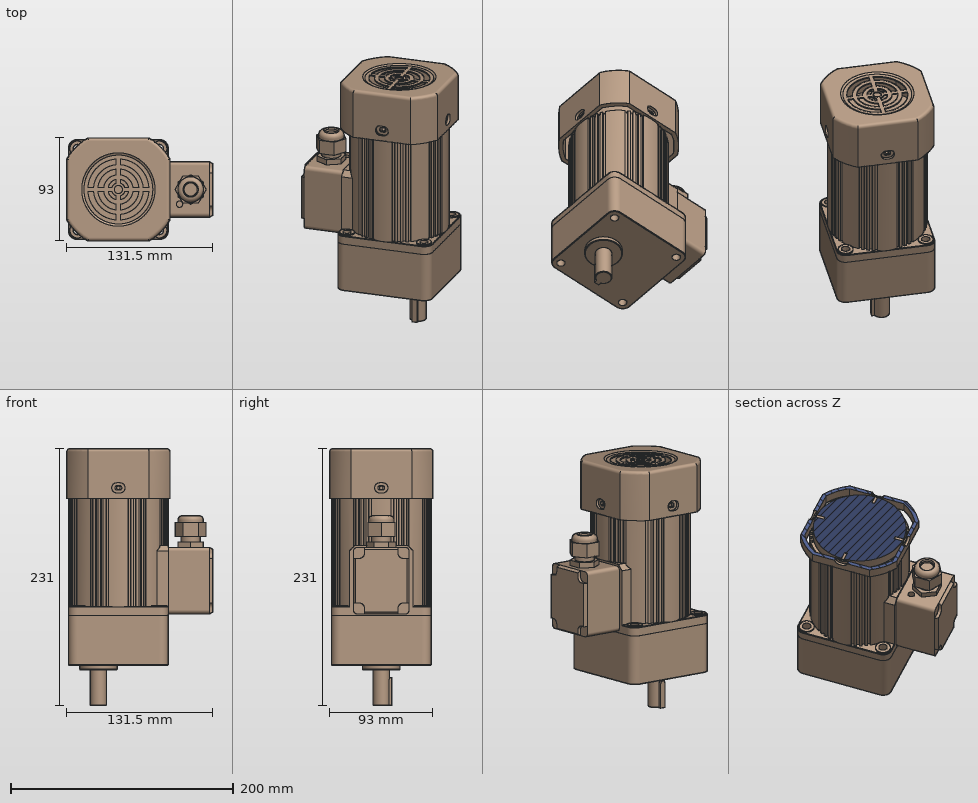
import cadquery as cq
import math


GEARBOX_HEIGHT = 45.0
FLANGE_THICKNESS = 8.0
FLANGE_TOP = GEARBOX_HEIGHT + FLANGE_THICKNESS
COVER_BOTTOM = 150.0
COVER_HEIGHT = 45.0
COVER_TOP = COVER_BOTTOM + COVER_HEIGHT

FRAME = 90.0
FRAME_CORNER = 8.0
FRAME_CHAMFER = 0.6
BOLT_CIRCLE = 104.0
BOLT_OFFSET = BOLT_CIRCLE / 2 * math.cos(math.radians(45))
BOLT_HOLE = 7.5
BOLT_PAD_RADIUS = 6.8
BOLT_PAD_HEIGHT = 1.0

SHAFT_X = -18.0
SHAFT_DIAMETER = 15.0
SHAFT_LENGTH = 36.0
SHAFT_SEAT_DEPTH = 20.0
SHAFT_CHAMFER = 0.6
PILOT_DIAMETER = 34.0
PILOT_HEIGHT = 4.0
PILOT_CHAMFER = 0.6
KEY_WIDTH = 5.0
KEY_LENGTH = 25.0
KEY_PROJECTION = 2.0

BARREL_RADIUS = FRAME / 2
GROOVE_DEPTH = 2.0
GROOVE_ARC = 3.1
GROOVE_PITCH = 6.33
GROOVES_PER_GROUP = 4
GROOVE_GROUPS = 8
SPIGOT_RADIUS = 42.0
SPIGOT_HEIGHT = 17.0

SADDLE_WIDTH = 57.4
SADDLE_TOP = 108.0
SADDLE_CHAMFER = 5.0

COVER_WIDTH = 93.0
COVER_CORNER_RADIUS = 54.0
COVER_WALL = 4.0
COVER_EDGE_RADIUS = 3.0
GRILLE_RECESS_TOP_RADIUS = 33.0
GRILLE_RECESS_FLOOR_RADIUS = 31.0
GRILLE_RECESS_DEPTH = 1.0
GRILLE_THICKNESS = 1.0
GRILLE_RIB = 4.0
GRILLE_CENTER_RADIUS = 3.7
GRILLE_SLOT_RADII = [(6.0, 9.3), (13.3, 18.5), (22.4, 27.5)]

SCREW_Z = COVER_BOTTOM + 9.7
SEAT_LENGTH = 12.0
SEAT_WIDTH = 9.2
SEAT_DEPTH = 2.5
SCREW_SLOT_LENGTH = 6.2
SCREW_SLOT_WIDTH = 4.2
SCREW_HOLE = 3.2
SCREW_HOLE_DEPTH = 8.0

BOX_X0 = FRAME / 2
LID_X0 = 82.0
LID_THICKNESS = 3.0
BOX_WIDTH = 50.0
BOX_BOTTOM = 46.2
BOX_HEIGHT = 60.0
BOX_TOP = BOX_BOTTOM + BOX_HEIGHT
BOX_MID_Z = (BOX_BOTTOM + BOX_TOP) / 2
BOX_EDGE_RADIUS = 3.5
LID_INSET = 1.8
LID_TAPER = math.degrees(math.atan2(LID_INSET, LID_THICKNESS))
LID_NOTCH = 10.0
LID_NOTCH_RADIUS = 5.0
BOX_HOLE_X = 55.0
BOX_HOLE_Y = -13.2
BOX_HOLE_DIAMETER = 5.8
BOX_HOLE_DEPTH = 10.0

GLAND_X = 65.0
LOCKNUT_FLATS = 23.0
LOCKNUT_HEIGHT = 5.0
NECK_DIAMETER = 17.6
NECK_HEIGHT = 4.7
CAPNUT_FLATS = 24.3
CAPNUT_HEIGHT = 12.7
DOME_DIAMETER = 23.0
DOME_HEIGHT = 6.2
DOME_RADIUS = 4.2
GLAND_BORE = 11.8
GLAND_BORE_DEPTH = 3.0
GLAND_BORE_CHAMFER = 1.0


def cylinder(radius, z0, z1, x=0.0, y=0.0):
    """Upright cylinder between two heights."""
    return cq.Workplane("XY", origin=(x, y, z0)).circle(radius).extrude(z1 - z0)


def square_frame(z0, z1):
    """Square block with rounded upright corners."""
    block = cq.Workplane("XY", origin=(0, 0, z0)).rect(FRAME, FRAME).extrude(z1 - z0)
    return block.edges("|Z").fillet(FRAME_CORNER)


def at_bolts(z0):
    """Workplane with the four frame bolt centres on its stack."""
    spacing = 2 * BOLT_OFFSET
    return cq.Workplane("XY", origin=(0, 0, z0)).rect(spacing, spacing, forConstruction=True).vertices()


def make_shaft():
    """Output shaft with its key standing out on the +Y side."""
    shaft = cylinder(SHAFT_DIAMETER / 2, -SHAFT_LENGTH, SHAFT_SEAT_DEPTH, SHAFT_X)
    shaft = shaft.faces("<Z").chamfer(SHAFT_CHAMFER)
    half = KEY_WIDTH / 2
    key = (
        cq.Workplane("XZ", origin=(SHAFT_X, 0, -SHAFT_LENGTH))
        .moveTo(-half, 0)
        .lineTo(half, 0)
        .lineTo(half, KEY_LENGTH - half)
        .threePointArc((0, KEY_LENGTH), (-half, KEY_LENGTH - half))
        .close()
        .extrude(-(SHAFT_DIAMETER / 2 + KEY_PROJECTION))
    )
    return shaft.union(key)


def make_gearbox():
    """Gearbox block with a round pilot, bolt holes and the shaft seat."""
    gearbox = square_frame(0, GEARBOX_HEIGHT).faces("<Z").chamfer(FRAME_CHAMFER)
    pilot = cylinder(PILOT_DIAMETER / 2, -PILOT_HEIGHT, GEARBOX_HEIGHT / 2, SHAFT_X)
    gearbox = gearbox.union(pilot.faces("<Z").chamfer(PILOT_CHAMFER))
    gearbox = gearbox.cut(at_bolts(0).circle(BOLT_HOLE / 2).extrude(GEARBOX_HEIGHT))
    return gearbox.cut(cylinder(SHAFT_DIAMETER / 2, -PILOT_HEIGHT, SHAFT_SEAT_DEPTH, SHAFT_X))


def make_barrel():
    """Round barrel with groups of grooves between eight smooth lands."""
    barrel = cylinder(BARREL_RADIUS, GEARBOX_HEIGHT, COVER_BOTTOM)
    groove_width = 2 * BARREL_RADIUS * math.sin(math.radians(GROOVE_ARC / 2))
    groove = (
        cq.Workplane("XY", origin=(BARREL_RADIUS, 0, FLANGE_TOP))
        .rect(2 * GROOVE_DEPTH, groove_width)
        .extrude(COVER_BOTTOM - FLANGE_TOP)
    )
    group_pitch = 360 / GROOVE_GROUPS
    first_offset = -(GROOVES_PER_GROUP - 1) / 2 * GROOVE_PITCH
    grooves = []
    for group in range(GROOVE_GROUPS):
        middle = (group + 0.5) * group_pitch
        for index in range(GROOVES_PER_GROUP):
            angle = middle + first_offset + index * GROOVE_PITCH
            grooves.append(groove.val().rotate(cq.Vector(), cq.Vector(0, 0, 1), angle))
    return barrel.cut(cq.Workplane(cq.Compound.makeCompound(grooves)))


def make_saddle():
    """Flat-faced block on the +X side of the barrel, chamfered along the top of both sides."""
    half = SADDLE_WIDTH / 2
    return (
        cq.Workplane("YZ")
        .moveTo(-half, GEARBOX_HEIGHT + FRAME_CHAMFER)
        .lineTo(half, GEARBOX_HEIGHT + FRAME_CHAMFER)
        .lineTo(half, SADDLE_TOP - SADDLE_CHAMFER)
        .lineTo(half - SADDLE_CHAMFER, SADDLE_TOP)
        .lineTo(-half + SADDLE_CHAMFER, SADDLE_TOP)
        .lineTo(-half, SADDLE_TOP - SADDLE_CHAMFER)
        .close()
        .extrude(BOX_X0)
    )


def make_motor():
    """Motor: bolted flange, grooved barrel, saddle and the spigot inside the fan cover."""
    motor = square_frame(GEARBOX_HEIGHT, FLANGE_TOP).faces(">Z").chamfer(FRAME_CHAMFER)
    pads = at_bolts(GEARBOX_HEIGHT).circle(BOLT_PAD_RADIUS).extrude(FLANGE_THICKNESS + BOLT_PAD_HEIGHT)
    motor = motor.union(pads).union(make_barrel()).union(make_saddle())
    motor = motor.union(cylinder(SPIGOT_RADIUS, FLANGE_TOP, COVER_BOTTOM + SPIGOT_HEIGHT))
    holes = at_bolts(GEARBOX_HEIGHT).circle(BOLT_HOLE / 2).extrude(FLANGE_THICKNESS + BOLT_PAD_HEIGHT)
    motor = motor.cut(holes)
    screw_hole = (
        cq.Workplane("XZ", origin=(0, -SPIGOT_RADIUS, SCREW_Z))
        .circle(SCREW_HOLE / 2)
        .extrude(-SCREW_HOLE_DEPTH)
    )
    for side in range(4):
        motor = motor.cut(screw_hole.rotate((0, 0, 0), (0, 0, 1), side * 90))
    return motor


def cover_block(width, corner_radius, z0, z1):
    """Square block whose corners are rounded by one large circle about the axis."""
    block = cq.Workplane("XY", origin=(0, 0, z0)).rect(width, width).extrude(z1 - z0)
    return block.intersect(cylinder(corner_radius, z0, z1))


def make_grille_slots(z0, z1):
    """Concentric ring slots interrupted by a cross of ribs, around a centre hole."""
    slots = cylinder(GRILLE_CENTER_RADIUS, z0, z1)
    span = 2 * GRILLE_RECESS_TOP_RADIUS
    cross = cq.Workplane("XY", origin=(0, 0, z0)).rect(span, GRILLE_RIB).extrude(z1 - z0)
    cross = cross.union(cross.rotate((0, 0, 0), (0, 0, 1), 90))
    for inner, outer in GRILLE_SLOT_RADII:
        ring = cq.Workplane("XY", origin=(0, 0, z0)).circle(outer).circle(inner).extrude(z1 - z0)
        slots = slots.union(ring.cut(cross))
    return slots


def make_cover():
    """Fan cover: a hollow cap with an air grille and a screw seat on each side."""
    cover = cover_block(COVER_WIDTH, COVER_CORNER_RADIUS, COVER_BOTTOM, COVER_TOP)
    cover = cover.faces(">Z").edges().fillet(COVER_EDGE_RADIUS)

    grille_top = COVER_TOP - GRILLE_RECESS_DEPTH
    ceiling = grille_top - GRILLE_THICKNESS
    cavity_width = COVER_WIDTH - 2 * COVER_WALL
    cavity_radius = COVER_CORNER_RADIUS - COVER_WALL
    cover = cover.cut(cover_block(cavity_width, cavity_radius, COVER_BOTTOM, ceiling))

    recess = (
        cq.Workplane("XY", origin=(0, 0, COVER_TOP))
        .circle(GRILLE_RECESS_TOP_RADIUS)
        .workplane(offset=-GRILLE_RECESS_DEPTH)
        .circle(GRILLE_RECESS_FLOOR_RADIUS)
        .loft()
    )
    cover = cover.cut(recess).cut(make_grille_slots(ceiling, grille_top))

    outer_face = cq.Workplane("XZ", origin=(0, -COVER_WIDTH / 2, SCREW_Z))
    seat = outer_face.slot2D(SEAT_LENGTH, SEAT_WIDTH).extrude(-SEAT_DEPTH)
    slot = outer_face.slot2D(SCREW_SLOT_LENGTH, SCREW_SLOT_WIDTH).extrude(-COVER_WALL)
    opening = seat.union(slot)
    for side in range(4):
        cover = cover.cut(opening.rotate((0, 0, 0), (0, 0, 1), side * 90))
    return cover


def make_terminal_box():
    """Terminal box with a tapered lid on its +X end, notched at the corners for the lid screws."""
    box = (
        cq.Workplane("YZ", origin=(BOX_X0, 0, BOX_MID_Z))
        .rect(BOX_WIDTH, BOX_HEIGHT)
        .extrude(LID_X0 - BOX_X0)
        .edges("|X")
        .fillet(BOX_EDGE_RADIUS)
    )
    lid = (
        cq.Workplane("YZ", origin=(LID_X0, 0, BOX_MID_Z))
        .rect(BOX_WIDTH, BOX_HEIGHT)
        .extrude(LID_THICKNESS, taper=LID_TAPER)
    )
    notches = (
        cq.Workplane("YZ", origin=(LID_X0, 0, BOX_MID_Z))
        .rect(BOX_WIDTH, BOX_HEIGHT, forConstruction=True)
        .vertices()
        .rect(2 * LID_NOTCH, 2 * LID_NOTCH)
        .extrude(LID_THICKNESS)
        .edges("|X")
        .fillet(LID_NOTCH_RADIUS)
    )
    box = box.union(lid.cut(notches))
    hole_floor = BOX_TOP - BOX_HOLE_DEPTH
    return box.cut(cylinder(BOX_HOLE_DIAMETER / 2, hole_floor, BOX_TOP, BOX_HOLE_X, BOX_HOLE_Y))


def hexagon(flats, z0, height, turn):
    """Upright hexagonal prism on the gland axis, turned about that axis."""
    corners = flats / math.cos(math.radians(30))
    prism = cq.Workplane("XY").polygon(6, corners).extrude(height)
    return prism.rotate((0, 0, 0), (0, 0, 1), turn).translate((GLAND_X, 0, z0))


def make_gland():
    """Cable gland: locknut, neck, cap nut and a domed top with a shallow bore."""
    neck_z = BOX_TOP + LOCKNUT_HEIGHT
    capnut_z = neck_z + NECK_HEIGHT
    dome_z = capnut_z + CAPNUT_HEIGHT
    dome_top = dome_z + DOME_HEIGHT
    gland = hexagon(LOCKNUT_FLATS, BOX_TOP, LOCKNUT_HEIGHT, 30)
    gland = gland.union(cylinder(NECK_DIAMETER / 2, neck_z, capnut_z, GLAND_X))
    gland = gland.union(hexagon(CAPNUT_FLATS, capnut_z, CAPNUT_HEIGHT, 0))
    dome = cylinder(DOME_DIAMETER / 2, dome_z, dome_top, GLAND_X).faces(">Z").edges().fillet(DOME_RADIUS)
    gland = gland.union(dome)
    bore = cylinder(GLAND_BORE / 2, dome_top - GLAND_BORE_DEPTH, dome_top, GLAND_X)
    mouth = gland.cut(bore).faces(">Z").edges(cq.selectors.RadiusNthSelector(0))
    return mouth.chamfer(GLAND_BORE_CHAMFER)


shaft = make_shaft()
gearbox = make_gearbox()
motor = make_motor()
cover = make_cover()
terminal_box = make_terminal_box()
gland = make_gland()

result = cq.Compound.makeCompound(
    [shaft.val(), gearbox.val(), motor.val(), cover.val(), terminal_box.val(), gland.val()]
)